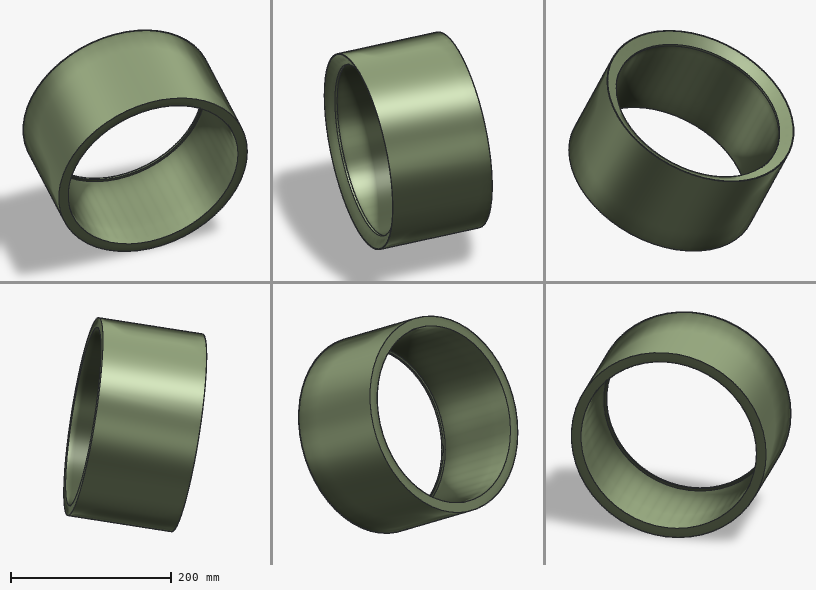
import cadquery as cq

length = 132.0
outer_diameter = 250.0
bore_diameter = 225.0
lip_diameter = 218.8

rim_width = 1.0
cone_depth = 8.5
lip_length = 3.0

outer_radius = outer_diameter / 2
bore_radius = bore_diameter / 2
lip_radius = lip_diameter / 2
mouth_radius = outer_radius - rim_width

front_x = -length / 2
back_x = length / 2
lip_start_x = front_x + cone_depth
lip_end_x = lip_start_x + lip_length

wall_section = (
    cq.Workplane("XY")
    .moveTo(front_x, outer_radius)
    .lineTo(back_x, outer_radius)
    .lineTo(back_x, bore_radius)
    .lineTo(lip_end_x, bore_radius)
    .lineTo(lip_end_x, lip_radius)
    .lineTo(lip_start_x, lip_radius)
    .lineTo(front_x, mouth_radius)
    .close()
)

result = wall_section.revolve(360, (0, 0, 0), (1, 0, 0))